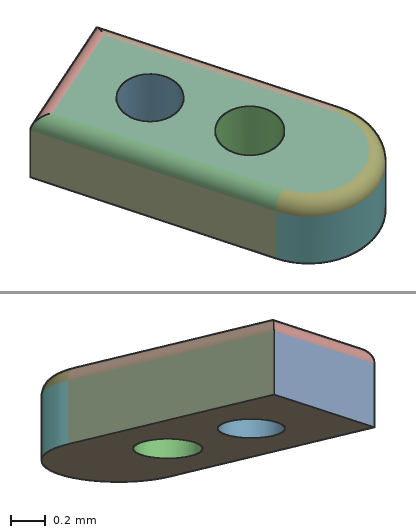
import cadquery as cq

length = 2.01
width = 0.89
height = 0.48

rim_radius = 0.096

small_hole_diameter = 0.388
small_hole_x = 0.555
large_hole_diameter = 0.4
large_hole_x = 1.19

end_radius = width / 2
straight_length = length - end_radius


def make_body():
    """Plate with a square end at X = 0 and a half-round end at +X."""
    return (
        cq.Workplane("XY")
        .moveTo(0, -end_radius)
        .lineTo(straight_length, -end_radius)
        .threePointArc((length, 0), (straight_length, end_radius))
        .lineTo(0, end_radius)
        .close()
        .extrude(height)
    )


def make_hole(x, diameter):
    """Vertical cylinder through the full height."""
    return cq.Workplane("XY").center(x, 0).circle(diameter / 2).extrude(height)


result = make_body().faces(">Z").edges().fillet(rim_radius)
for hole_x, hole_diameter in (
    (small_hole_x, small_hole_diameter),
    (large_hole_x, large_hole_diameter),
):
    result = result.cut(make_hole(hole_x, hole_diameter))